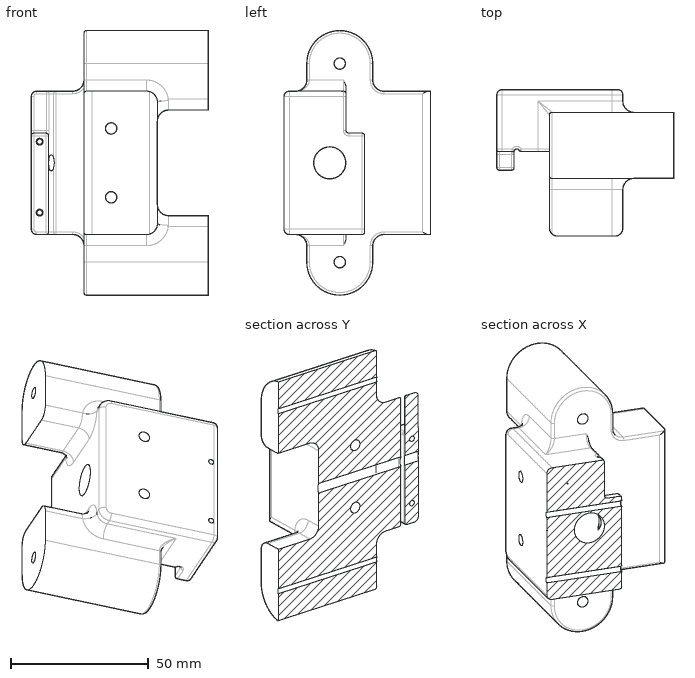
import cadquery as cq
total_length = 64.2
total_height = 96.0
total_depth = 53.2
back_y = 20.3
front_y = back_y - total_depth

block_left = 19.1
block_right = 45.8
block_top = 26.0

tube_radius = 12.0
tube_height = 28.9
tube_axis_z = total_height / 2 - tube_radius
tube_inner_z = total_height / 2 - tube_height

wing_front = -2.3
lip_front = -9.0
lip_width = 6.3
lip_top = 10.8
groove_radius = 1.0
foot_width = 3.8

tube_hole_diameter = 4.0
main_bore_diameter = 11.5
main_bore_y = 3.6
block_hole_diameter = 4.0
block_hole_x = 29.0
block_hole_z = 12.5
lip_hole_diameter = 1.9
lip_hole_chamfer = 0.3
lip_hole_x = 3.1
lip_hole_heights = (7.7, -18.0)

blend_radius = 4.0
front_radius = 3.0
back_radius = 2.0
edge_radius = 1.0

SELECT_MARGIN = 0.05


def box(x_range, y_range, z_range):
    """Solid box spanning the given (low, high) ranges."""
    low, high = zip(x_range, y_range, z_range)
    size = [end - start for start, end in zip(low, high)]
    return cq.Workplane("XY").box(*size, centered=False).translate(low)


def centred_in(x_range, y_range, z_range):
    """Selector for the edges whose centres lie within the given (low, high) ranges."""
    low, high = zip(x_range, y_range, z_range)
    return cq.selectors.BoxSelector(
        [value - SELECT_MARGIN for value in low], [value + SELECT_MARGIN for value in high]
    )


def make_block():
    """Central block with rounded right-hand corners."""
    blank = box((block_left, block_right), (front_y, back_y), (-block_top, block_top))
    return blank.edges("|Y and >X").fillet(blend_radius)


def round_block_front(body):
    """Trim the two vertical front edges of the block round, straight through its top and bottom."""
    strip = box((block_left, block_right), (front_y, front_y + 2 * front_radius), (-block_top, block_top))
    rounded_strip = strip.edges("|Z and <Y").fillet(front_radius)
    return body.cut(strip.cut(rounded_strip))


def make_tube():
    """Upper tube: semicircular top, flat sides and rounded lower edges."""
    profile = (
        cq.Workplane("YZ", origin=(block_left, 0, 0))
        .moveTo(-tube_radius, tube_axis_z)
        .threePointArc((0, total_height / 2), (tube_radius, tube_axis_z))
        .lineTo(tube_radius, tube_inner_z)
        .lineTo(-tube_radius, tube_inner_z)
        .close()
    )
    tube = profile.extrude(total_length - block_left)
    return tube.edges("|X and <Z").fillet(blend_radius)


def blend_wing_root(body, side):
    """Concave blend from the top (side 1) or bottom (side -1) of the wing up the tube end."""
    root_z = side * block_top
    root = centred_in((block_left, block_left), (0, tube_radius), (root_z, root_z))
    return body.edges(root).fillet(blend_radius)


def blend_block_root(body, side):
    """Concave blend all around the upper (side 1) or lower (side -1) tube where it meets the block."""
    z_range = sorted((side * tube_inner_z, side * block_top))
    root = centred_in((block_left + edge_radius, block_right), (-tube_radius, tube_radius), z_range)
    return body.edges(root).fillet(blend_radius)


def wing_end_edges():
    """Selector for the top and bottom edges of the wing's end face."""
    y_range = (lip_front, back_y)
    upper = centred_in((0, 0), y_range, (block_top, block_top))
    lower = centred_in((0, 0), y_range, (-block_top, -block_top))
    return upper + lower


def round_back(body):
    """Round the back outline together with the wing's end edges that run into it."""
    back_outline = body.faces(">Y").edges()
    return back_outline.add(body.edges(wing_end_edges())).fillet(back_radius)


def round_left_face(body):
    """Round the free outline of the left face shared by the block and the tubes."""
    x_range = (block_left, block_left)
    root_z = block_top + blend_radius
    whole_face = centred_in(x_range, (front_y, back_y), (-total_height / 2, total_height / 2))
    wing_contact = centred_in(x_range, (0, tube_radius / 2), (-root_z, root_z))
    return body.edges(whole_face - wing_contact).fillet(edge_radius)


def cut_groove(body):
    """Half-round groove beside the lip, along the whole height of the wing."""
    groove = (
        cq.Workplane("XY", origin=(lip_width + groove_radius, wing_front, -total_height / 2))
        .circle(groove_radius)
        .extrude(total_height)
    )
    return body.cut(groove)


def round_wing_front(body):
    """Round every outer edge along the front of the wing, the groove and the lip."""
    front_region = centred_in(
        (0, block_left), (lip_front, wing_front + groove_radius), (-total_height, total_height)
    )
    step_lines = centred_in(
        (edge_radius, lip_width - edge_radius),
        (wing_front - edge_radius, wing_front),
        (lip_top, lip_top + edge_radius),
    )
    groove_seam = centred_in((lip_width, lip_width), (wing_front, wing_front), (-block_top, 0))
    return body.edges(front_region - step_lines - groove_seam).fillet(edge_radius)


def make_wing_front():
    """Front layer of the wing: lip, groove and a flared root that ends in a foot inside the tubes."""
    y_range = (wing_front, 0)
    layer = box((0, block_left), y_range, (-block_top, block_top))
    foot = box((block_left, block_left + foot_width), y_range, (-tube_axis_z, tube_axis_z))
    layer = layer.union(foot)
    for root_z in (block_top, -block_top):
        root = centred_in((block_left, block_left), y_range, (root_z, root_z))
        layer = layer.edges(root).fillet(blend_radius)
    lip = box((0, lip_width), (lip_front, wing_front), (-block_top, lip_top))
    layer = layer.union(lip)
    layer = layer.edges(wing_end_edges()).fillet(back_radius)
    lip_step = centred_in((0, lip_width), (wing_front, wing_front), (lip_top, lip_top))
    layer = layer.edges(lip_step).fillet(edge_radius)
    return round_wing_front(cut_groove(layer))


def holes_along_x(diameter, y, heights):
    """Cylinders through the whole length of the part."""
    points = [(y, z) for z in heights]
    return cq.Workplane("YZ").pushPoints(points).circle(diameter / 2).extrude(total_length)


def holes_along_y(diameter, x, heights):
    """Cylinders through the whole depth of the part."""
    points = [(x, z) for z in heights]
    plane = cq.Workplane("XZ", origin=(0, back_y, 0))
    return plane.pushPoints(points).circle(diameter / 2).extrude(total_depth)


def lip_hole_mouths():
    """Cones that chamfer the mouths of the lip holes."""
    points = [(lip_hole_x, z) for z in lip_hole_heights]
    plane = cq.Workplane("XZ", origin=(0, lip_front + lip_hole_chamfer, 0))
    return plane.pushPoints(points).circle(lip_hole_diameter / 2).extrude(lip_hole_chamfer, taper=-45)


tube = make_tube()
wing_rear = box((0, block_left), (0, back_y), (-block_top, block_top))
result = make_block().union(wing_rear).union(tube).union(tube.mirror("XY"))
for side in (1, -1):
    result = blend_wing_root(result, side)
for side in (1, -1):
    result = blend_block_root(result, side)
result = round_left_face(round_back(result))
result = round_block_front(result)

result = result.union(make_wing_front())

result = result.cut(holes_along_x(main_bore_diameter, main_bore_y, [0]))
result = result.cut(holes_along_x(tube_hole_diameter, 0, [tube_axis_z, -tube_axis_z]))
result = result.cut(holes_along_y(block_hole_diameter, block_hole_x, [block_hole_z, -block_hole_z]))
result = result.cut(holes_along_y(lip_hole_diameter, lip_hole_x, lip_hole_heights))
result = result.cut(lip_hole_mouths())